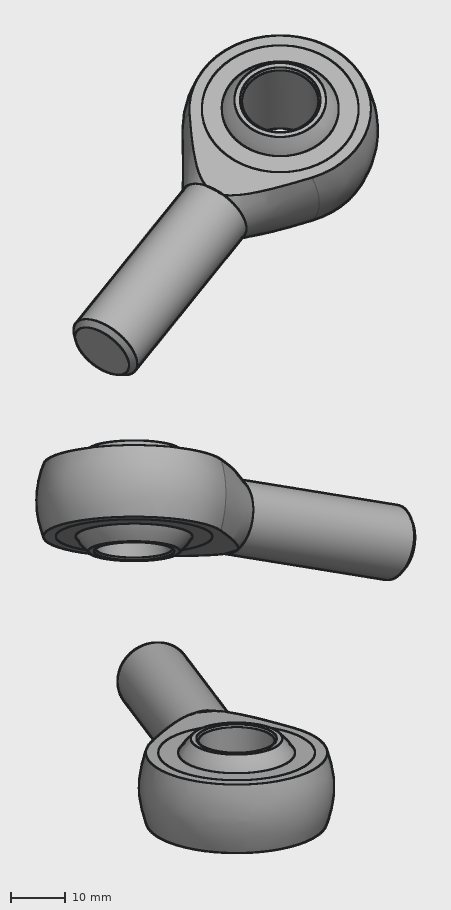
import cadquery as cq
import math

overall_length = 77.95
head_radius = 18.0
head_thickness = 13.5
shank_radius = 7.0
shank_chamfer = 1.1
race_radius = 14.4
ball_radius = 12.7
ball_width = 19.0
bore_radius = 7.0
bore_chamfer = 0.4

shank_end = head_radius - overall_length

tangent_y = -9.9
tangent_radius = math.sqrt(head_radius**2 - tangent_y**2)
neck_end = tangent_y + (tangent_radius - shank_radius) * tangent_radius / tangent_y


def z_cylinder(radius, height):
    """Cylinder along Z, centred on the origin."""
    return cq.Workplane("XY").circle(radius).extrude(height / 2, both=True)


def make_housing():
    """Flattened sphere and neck cone, joined to the shank and bored through for the race."""
    side_angle = math.atan2(tangent_y, tangent_radius)
    arc_middle_angle = (math.pi / 2 + side_angle) / 2
    arc_middle = (head_radius * math.cos(arc_middle_angle), head_radius * math.sin(arc_middle_angle))
    head = (
        cq.Workplane("XY")
        .moveTo(0, head_radius)
        .threePointArc(arc_middle, (tangent_radius, tangent_y))
        .lineTo(shank_radius, neck_end)
        .lineTo(0, neck_end)
        .close()
        .revolve(360, (0, 0, 0), (0, 1, 0))
    )
    flat_slab = cq.Workplane("XY").box(2 * overall_length, 2 * overall_length, head_thickness)
    shank = (
        cq.Workplane("XZ", origin=(0, neck_end, 0))
        .circle(shank_radius)
        .extrude(neck_end - shank_end)
        .faces("<Y")
        .chamfer(shank_chamfer)
    )
    return head.intersect(flat_slab).union(shank).cut(z_cylinder(race_radius, head_thickness))


def make_race():
    """Ring flush with the head flats, with a spherical seat for the ball."""
    return z_cylinder(race_radius, head_thickness).cut(cq.Workplane("XY").sphere(ball_radius))


def make_ball():
    """Sphere cut flat at both ends, with a bore chamfered at both mouths."""
    blank = cq.Workplane("XY").sphere(ball_radius).intersect(z_cylinder(2 * ball_radius, ball_width))
    bored = blank.cut(z_cylinder(bore_radius, ball_width))
    bore_mouths = cq.selectors.RadiusNthSelector(0)
    return bored.faces("|Z").edges(bore_mouths).chamfer(bore_chamfer)


housing = make_housing()
race = make_race()
ball = make_ball()

result = cq.Compound.makeCompound([housing.solids().val(), race.solids().val(), ball.solids().val()])